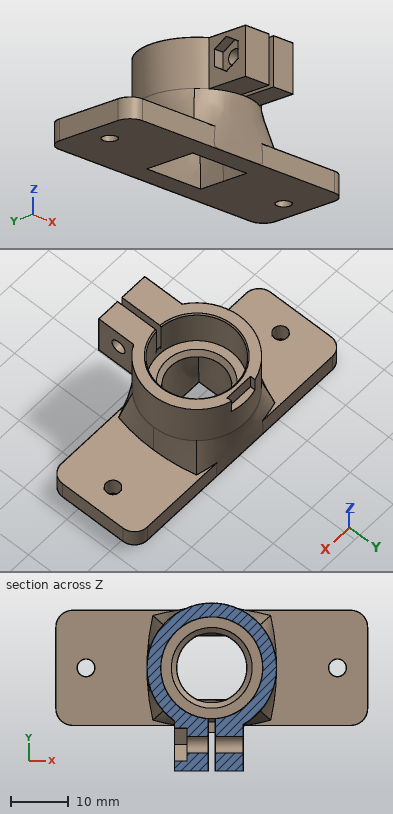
import cadquery as cq
import math

plate_length = 54.0
plate_width = 20.0
plate_thickness = 4.05
plate_corner_radius = 2.95
mount_hole_spacing = 43.5
screw_diameter = 3.0

neck_foot_inset = 0.005
neck_foot_width = plate_width - 2 * neck_foot_inset

total_height = 20.5
ring_diameter = 22.45
ring_bottom = 11.0
ring_height = total_height - ring_bottom
bore_diameter = 17.6
bore_floor = 12.5
bore_chamfer = 0.25

cone_top_diameter = 14.0
throat_diameter = 12.1
throat_height = 11.55
mouth_length = 13.5
mouth_width = 11.0

collar_bottom_diameter = 18.7
collar_shoulder = 11.8
collar_top = 14.45

lug_reach = 17.9
nut_lug_side = 6.5
head_lug_side = 5.45
slot_width = 1.15
clamp_screw_y = -13.3
clamp_screw_z = 16.4
nut_across_flats = 5.6
nut_pocket_depth = 2.15

notch_width = 6.05
notch_inner_y = 9.8
notch_depth = 3.15


def rectangle_to_circle(length, width, diameter, height):
    """Solid blending from a rectangle at Z = 0 to a circle at the given height."""
    return (
        cq.Workplane("XY")
        .rect(length, width)
        .workplane(offset=height)
        .circle(diameter / 2)
        .loft(combine=True)
    )


def box_between(x_min, x_max, y_min, y_max, z_min, z_max):
    return (
        cq.Workplane("XY")
        .box(x_max - x_min, y_max - y_min, z_max - z_min, centered=False)
        .translate((x_min, y_min, z_min))
    )


def base_plate():
    return (
        cq.Workplane("XY")
        .box(plate_length, plate_width, plate_thickness, centered=(True, True, False))
        .edges("|Z")
        .fillet(plate_corner_radius)
        .faces(">Z")
        .workplane()
        .pushPoints([(-mount_hole_spacing / 2, 0), (mount_hole_spacing / 2, 0)])
        .hole(screw_diameter)
    )


def clamp_ring():
    ring = (
        cq.Workplane("XY")
        .workplane(offset=ring_bottom)
        .circle(ring_diameter / 2)
        .extrude(ring_height)
    )
    lugs = box_between(-nut_lug_side, head_lug_side, -lug_reach, 0, ring_bottom, total_height)
    return ring.union(lugs)


def bore():
    """Stepped bore with a chamfered rim and a cone below its seat, as one revolved cutter."""
    bore_radius = bore_diameter / 2
    profile = [
        (0, throat_height),
        (throat_diameter / 2, throat_height),
        (cone_top_diameter / 2, bore_floor),
        (bore_radius, bore_floor),
        (bore_radius, total_height - bore_chamfer),
        (bore_radius + bore_chamfer, total_height),
        (0, total_height),
    ]
    return cq.Workplane("XZ").polyline(profile).close().revolve(360, (0, 0), (0, 1))


def seat_collar():
    """Tapered collar around the bore seat, left standing by the clamp slot."""
    profile = [
        (0, ring_bottom),
        (collar_bottom_diameter / 2, ring_bottom),
        (collar_bottom_diameter / 2, collar_shoulder),
        (bore_diameter / 2, collar_top),
        (0, collar_top),
    ]
    return cq.Workplane("XZ").polyline(profile).close().revolve(360, (0, 0), (0, 1))


def clamp_slot():
    slot = box_between(-slot_width / 2, slot_width / 2, -lug_reach, 0, ring_bottom, total_height)
    return slot.cut(seat_collar())


def key_notch():
    return box_between(
        -notch_width / 2,
        notch_width / 2,
        notch_inner_y,
        ring_diameter / 2,
        total_height - notch_depth,
        total_height,
    )


def clamp_screw():
    """Screw hole through both lugs with a hexagonal nut pocket in the -X face."""
    start = cq.Workplane("YZ", origin=(-nut_lug_side, clamp_screw_y, clamp_screw_z))
    hole = start.circle(screw_diameter / 2).extrude(nut_lug_side + head_lug_side)
    nut_across_corners = nut_across_flats / math.cos(math.pi / 6)
    nut = start.transformed(rotate=(0, 0, 90)).polygon(6, nut_across_corners).extrude(nut_pocket_depth)
    return hole.union(nut)


neck = rectangle_to_circle(ring_diameter, neck_foot_width, ring_diameter, ring_bottom)
passage = rectangle_to_circle(mouth_length, mouth_width, throat_diameter, throat_height)

result = (
    neck.union(clamp_ring())
    .union(base_plate())
    .cut(passage)
    .cut(bore())
    .cut(clamp_slot())
    .cut(key_notch())
    .cut(clamp_screw())
)